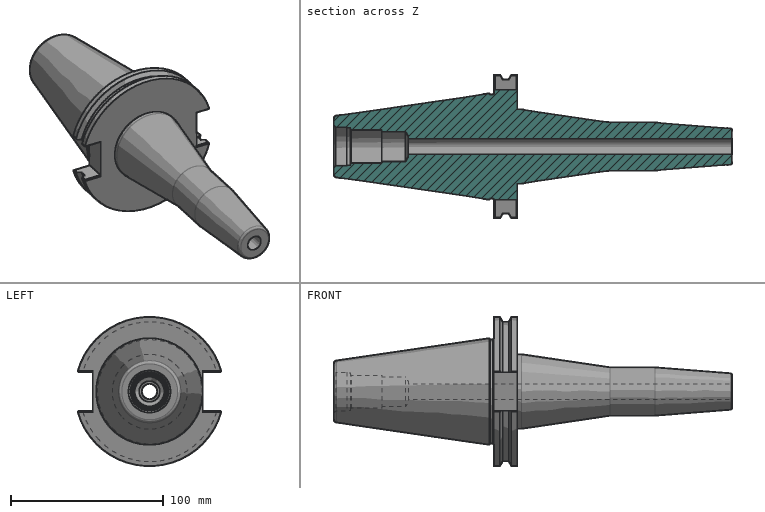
import cadquery as cq
import math


length = 261.8
gauge_x = 102.0
gauge_radius = 35.0
taper_slope = 7 / 24 / 2
shank_end_radius = gauge_radius - gauge_x * taper_slope
shank_end_rounding = 2.0

relief_depth = 0.8

flange_start = 105.2
flange_width = 15.5
flange_end = flange_start + flange_width
flange_middle = flange_start + flange_width / 2
flange_diameter = 98.2
flange_radius = flange_diameter / 2
v_depth = 3.1
v_floor_width = 4.0
v_flank_angle = 30
v_flank_run = v_depth * math.tan(math.radians(v_flank_angle))
slot_width = 25.5
slot_floor_front = 35.0
slot_floor_back = 37.5
slot_chamfer = 0.8
edge_match_tolerance = 0.003

collar_width = 2.4
neck_start = flange_end + collar_width
neck_start_radius = 24.5
stem_start = 181.5
stem_end = 210.7
stem_radius = 16.0
nose_taper_angle = 4.5
tip_radius = stem_radius - (length - stem_end) * math.tan(math.radians(nose_taper_angle))
tip_rounding = 1.5

mouth_radius = 14.0
mouth_depth = 1.3
pilot_radius = 12.5
pilot_depth = 8.5
lead_radius = 12.3
lead_depth = 10.7
thread_radius = 10.7
thread_chamfer = 0.8
thread_depth = 31.5
drill_radius = 9.7
drill_depth = 47.0
drill_tip_radius = 6.8
drill_point_angle = 60
drill_tip_length = (drill_radius - drill_tip_radius) / math.tan(math.radians(drill_point_angle))
drill_tip_depth = drill_depth + drill_tip_length
coolant_radius = 5.0


def revolve_about_x(points):
    """Close a half profile of (x, radius) points onto the X axis and revolve it."""
    start = (points[0][0], 0)
    end = (points[-1][0], 0)
    profile = cq.Workplane("XZ").polyline([start, *points, end]).close()
    return profile.revolve(360, (0, 0, 0), (1, 0, 0))


def make_body():
    v_floor_radius = flange_radius - v_depth
    v_floor_half = v_floor_width / 2
    v_mouth_half = v_floor_half + v_flank_run
    relief_radius = gauge_radius - relief_depth
    body = revolve_about_x([
        (0, shank_end_radius),
        (gauge_x, gauge_radius),
        (gauge_x + relief_depth, relief_radius),
        (flange_start - relief_depth, relief_radius),
        (flange_start, gauge_radius),
        (flange_start, flange_radius),
        (flange_middle - v_mouth_half, flange_radius),
        (flange_middle - v_floor_half, v_floor_radius),
        (flange_middle + v_floor_half, v_floor_radius),
        (flange_middle + v_mouth_half, flange_radius),
        (flange_end, flange_radius),
        (flange_end, neck_start_radius),
        (neck_start, neck_start_radius),
        (stem_start, stem_radius),
        (stem_end, stem_radius),
        (length, tip_radius),
    ])
    body = body.faces("<X").edges().fillet(shank_end_rounding)
    return body.faces(">X").edges().fillet(tip_rounding)


def make_bore():
    return revolve_about_x([
        (0, mouth_radius),
        (mouth_depth, pilot_radius),
        (pilot_depth, pilot_radius),
        (pilot_depth, lead_radius),
        (lead_depth, lead_radius),
        (lead_depth, thread_radius + thread_chamfer),
        (lead_depth + thread_chamfer, thread_radius),
        (thread_depth, thread_radius),
        (thread_depth, drill_radius),
        (drill_depth, drill_radius),
        (drill_tip_depth, drill_tip_radius),
        (drill_tip_depth, coolant_radius),
        (length, coolant_radius),
    ])


def cut_slot(body, side, floor):
    """Mill a drive slot open towards side * Y and break the edges of its two walls."""
    half_width = slot_width / 2
    rim_y = math.sqrt(flange_radius**2 - half_width**2)
    cutter = cq.Workplane("XY").box(flange_width, flange_radius, slot_width)
    middle_y = side * (floor + flange_radius / 2)
    slotted = body.cut(cutter.translate((flange_middle, middle_y, 0)))

    def on_wall_border(edge):
        center = edge.Center()
        on_wall_plane = abs(abs(center.z) - half_width) < edge_match_tolerance
        outside_floor = side * center.y > floor + edge_match_tolerance
        on_side = abs(abs(center.x - flange_middle) - flange_width / 2) < edge_match_tolerance
        on_rim = abs(abs(center.y) - rim_y) < edge_match_tolerance
        return on_wall_plane and outside_floor and (on_side or on_rim)

    wall_border = slotted.edges().filter(on_wall_border)
    return wall_border.chamfer(slot_chamfer)


result = make_body().cut(make_bore())
result = cut_slot(result, 1, slot_floor_back)
result = cut_slot(result, -1, slot_floor_front)